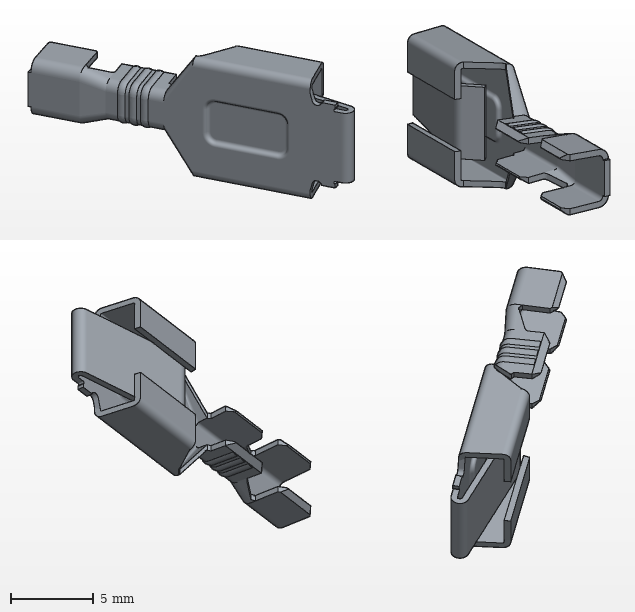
import cadquery as cq
import math

sheet = 0.4
length = 21.18

body_start = 10.75
body_half_width = 4.05
body_height = 3.15
body_bend = 0.5
body_flat_half = body_half_width - body_bend
body_end_bottom = 18.53
body_end_top = 18.07
flange_edge_half = 1.7
wing_foot = (10.87, 0.57)
wing_curve = (11.08, 0.72)
wing_rise = (11.27, 0.95)
wing_shoulder = (12.43, 2.6)
wing_top_x = 12.54

tab_half = 2.82
tab_start = 19.3
tab_end = 20.18
notch_start = 18.65
notch_floor_half = 2.56
relief_radius = 0.08

tongue_half = 2.37
fold_radius = 0.55
tongue_rise = math.radians(12.3)
tongue_fall = math.radians(48)
crest_radius = 0.64
crest_height = 2.71
tip_length = 1.4

panel_centre_x = 14.32
panel_length = 5.75
panel_width = 3.26
panel_corner = 0.83
panel_depth = 0.28
panel_wall_slope = math.radians(65)
panel_wall_run = 0.4
panel_fillet_run = (panel_wall_run - panel_depth / math.tan(panel_wall_slope)) / 2
panel_fillet = panel_fillet_run / math.tan(panel_wall_slope / 2)

barrel_height = 2.92
tip_edge = 0.08
insulation_start = 0.2
insulation_end = 3.4
insulation_drop = 0.25
insulation_flat_half = 1.16
insulation_bend = 0.72
insulation_flare = math.radians(2)
insulation_bevel_foot = 2.58
conductor_start = 5.05
conductor_end = 8.65
conductor_channel_end = 8.85
conductor_flat_half = 0.72
conductor_bend = 0.64
conductor_flare = math.radians(4)
conductor_bevel_foot = 2.45
shoulder_height = 2.48
corner_cut = 0.5

bead_centres = (6.05, 6.82, 7.58)
bead_width = 0.5
bead_rise = 0.075
bead_top = 2.44

neck_low = (3.62, 0.57)
neck_high = (4.85, 1.2)
neck_curve = (4.98, 1.31)
neck_top = 1.48
neck_corner = 0.76
throat_top = 1.35
throat_edge = (8.81, 1.23)

cut_margin = 1.05


def channel(x, web_y, flat_half, bend, flare, bevel_foot, growth=0.0, thickness=sheet):
    """Closed wire of an open channel section at x, its wings leaning outwards by flare.

    The outer wing faces bevel inwards from bevel_foot; growth moves the outer face outwards.
    """
    centre_y = web_y + bend
    mid_angle = -(math.pi / 2 + flare) / 2

    def around_bend(radius, angle):
        return centre_y + radius * math.sin(angle), flat_half + radius * math.cos(angle)

    def along_wing(start, y):
        return y, start[1] + (y - start[0]) * math.tan(flare)

    outer = bend + growth
    inner = outer - thickness
    outer_wing = around_bend(outer, -flare)
    inner_wing = around_bend(inner, -flare)
    outer_tip = along_wing(outer_wing, bevel_foot)
    inner_tip = along_wing(inner_wing, barrel_height - tip_edge)
    crest = (barrel_height, inner_tip[1] + tip_edge)

    def mirrored(point):
        return point[0], -point[1]

    outer_web = (centre_y - outer, flat_half)
    inner_web = (centre_y - inner, flat_half)
    outer_mid = around_bend(outer, mid_angle)
    inner_mid = around_bend(inner, mid_angle)
    return (
        cq.Workplane("YZ", origin=(x, 0, 0))
        .moveTo(*mirrored(outer_web))
        .lineTo(*outer_web)
        .threePointArc(outer_mid, outer_wing)
        .lineTo(*outer_tip)
        .lineTo(*crest)
        .lineTo(*inner_tip)
        .lineTo(*inner_wing)
        .threePointArc(inner_mid, inner_web)
        .lineTo(*mirrored(inner_web))
        .threePointArc(mirrored(inner_mid), mirrored(inner_wing))
        .lineTo(*mirrored(inner_tip))
        .lineTo(*mirrored(crest))
        .lineTo(*mirrored(outer_tip))
        .lineTo(*mirrored(outer_wing))
        .threePointArc(mirrored(outer_mid), mirrored(outer_web))
        .close()
        .val()
    )


def loft(sections, ruled=True):
    return cq.Workplane(cq.Solid.makeLoft(sections, ruled))


def insulation_section(x):
    return channel(
        x, -insulation_drop, insulation_flat_half, insulation_bend, insulation_flare, insulation_bevel_foot
    )


def conductor_section(x, growth=0.0, thickness=sheet):
    return channel(
        x,
        0,
        conductor_flat_half,
        conductor_bend,
        conductor_flare,
        conductor_bevel_foot,
        growth,
        thickness,
    )


def barrel_side_profile():
    """Side silhouette that trims the wings of both barrels and of the necks beside them."""
    low = -cut_margin
    return (
        cq.Workplane("XY")
        .moveTo(insulation_start, low)
        .lineTo(insulation_start, shoulder_height)
        .lineTo(insulation_start + corner_cut, barrel_height)
        .lineTo(insulation_end - corner_cut, barrel_height)
        .lineTo(insulation_end, shoulder_height)
        .lineTo(insulation_end, neck_corner)
        .lineTo(*neck_low)
        .lineTo(*neck_high)
        .threePointArc(neck_curve, (conductor_start, neck_top))
        .lineTo(conductor_start, shoulder_height)
        .lineTo(conductor_start + corner_cut, barrel_height)
        .lineTo(conductor_end - corner_cut, barrel_height)
        .lineTo(conductor_end, shoulder_height)
        .lineTo(conductor_end, throat_top)
        .lineTo(*throat_edge)
        .lineTo(*wing_foot)
        .lineTo(wing_foot[0], low)
        .close()
        .extrude(body_half_width + cut_margin, both=True)
    )


def barrels():
    insulation = loft([insulation_section(insulation_start), insulation_section(insulation_end)])
    neck = loft([insulation_section(insulation_end), conductor_section(conductor_start)])
    conductor = loft([conductor_section(conductor_start), conductor_section(conductor_channel_end)])
    body_section = channel(body_start, 0, body_flat_half, body_bend, 0, conductor_bevel_foot)
    throat = loft([conductor_section(conductor_channel_end), body_section])
    return insulation.union(neck).union(conductor).union(throat).intersect(barrel_side_profile())


def carrier_stub():
    """Short stub of the web left at the rear end."""
    return cq.Workplane("XY").box(
        insulation_start, sheet, 2 * insulation_flat_half, centered=(False, False, True)
    ).translate((0, -insulation_drop, 0))


def bead(x):
    """Rounded bead that wraps the outside of the conductor barrel."""
    sections = []
    for offset, growth in ((-bead_width / 2, 0), (0, bead_rise), (bead_width / 2, 0)):
        sections.append(conductor_section(x + offset, growth, sheet / 2 + growth))
    above = cq.Workplane("XY").box(
        2 * bead_width, cut_margin, 2 * body_half_width, centered=(True, False, True)
    ).translate((x, bead_top, 0))
    return loft(sections, ruled=False).cut(above)


def body_side_profile():
    low = -cut_margin
    end_slope = (body_end_bottom - body_end_top) / body_height
    return (
        cq.Workplane("XY")
        .moveTo(body_start, low)
        .lineTo(body_start, wing_foot[1])
        .lineTo(*wing_foot)
        .threePointArc(wing_curve, wing_rise)
        .lineTo(*wing_shoulder)
        .lineTo(wing_top_x, body_height)
        .lineTo(body_end_top, body_height)
        .lineTo(body_end_bottom - low * end_slope, low)
        .close()
        .extrude(body_half_width, both=True)
    )


def body():
    """Box with rolled-in wings, open between the two flange edges."""
    def tube(inset):
        return (
            cq.Workplane("XY")
            .box(
                body_end_bottom - body_start,
                body_height - 2 * inset,
                2 * (body_half_width - inset),
                centered=(False, False, True),
            )
            .edges("|X")
            .fillet(body_bend - inset)
            .translate((body_start, inset, 0))
        )

    gap = cq.Workplane("XY").box(
        length, body_height, 2 * flange_edge_half, centered=(False, False, True)
    ).translate((0, 2 * sheet, 0))
    return tube(0).cut(tube(sheet)).cut(gap).intersect(body_side_profile())


def tab():
    """Web plate from the body end to the fold, notched at both sides."""
    bend_line_x = body_end_bottom - body_bend * (body_end_bottom - body_end_top) / body_height
    inner_start = panel_centre_x + panel_length / 2
    upper_half = (
        cq.Workplane("XZ")
        .moveTo(inner_start, 0)
        .lineTo(inner_start, body_flat_half)
        .lineTo(bend_line_x, body_flat_half)
        .lineTo(notch_start, tab_half)
        .threePointArc(((notch_start + tab_start) / 2, notch_floor_half), (tab_start, tab_half))
        .lineTo(tab_end, tab_half)
        .lineTo(tab_end, tongue_half + 2 * relief_radius)
        .threePointArc((tab_end - relief_radius, tongue_half + relief_radius), (tab_end, tongue_half))
        .lineTo(length - fold_radius, tongue_half)
        .lineTo(length - fold_radius, 0)
        .close()
        .extrude(-sheet)
    )
    return upper_half.union(upper_half.mirror("XY"))


def tongue():
    """Contact spring: folds over the tab, climbs to a crest and dips towards its free end."""
    fold = cq.Vector(length - fold_radius, fold_radius)
    climb = cq.Vector(-math.cos(tongue_rise), math.sin(tongue_rise))
    climb_normal = cq.Vector(math.sin(tongue_rise), math.cos(tongue_rise))
    dip = cq.Vector(-math.cos(tongue_fall), -math.sin(tongue_fall))
    dip_normal = cq.Vector(-math.sin(tongue_fall), math.cos(tongue_fall))
    up = cq.Vector(0, 1)
    forward = cq.Vector(1, 0)

    crest_start = fold + climb_normal * (fold_radius - crest_radius)
    climb_length = (crest_height - crest_radius - crest_start.y) / climb.y
    crest = crest_start + climb * climb_length

    def face_points(depth):
        fold_face = fold_radius - depth
        crest_face = crest_radius - depth
        tip = crest + dip_normal * crest_face + dip * tip_length
        return (
            fold - up * fold_face,
            fold + forward * fold_face,
            fold + climb_normal * fold_face,
            crest + climb_normal * crest_face,
            crest + up * crest_face,
            crest + dip_normal * crest_face,
            tip,
        )

    outer = [point.toTuple()[:2] for point in face_points(0)]
    inner = [point.toTuple()[:2] for point in face_points(sheet)]
    return (
        cq.Workplane("XY")
        .moveTo(*outer[0])
        .threePointArc(outer[1], outer[2])
        .lineTo(*outer[3])
        .threePointArc(outer[4], outer[5])
        .lineTo(*outer[6])
        .lineTo(*inner[6])
        .lineTo(*inner[5])
        .threePointArc(inner[4], inner[3])
        .lineTo(*inner[2])
        .threePointArc(inner[1], inner[0])
        .close()
        .extrude(tongue_half, both=True)
    )


def panel_block(base_y):
    """Rounded rectangular block with sloping walls that rises from base_y."""
    return (
        cq.Workplane("XZ", origin=(panel_centre_x, base_y, 0))
        .sketch()
        .rect(panel_length - 2 * panel_fillet_run, panel_width - 2 * panel_fillet_run)
        .vertices()
        .fillet(panel_corner - panel_fillet_run)
        .finalize()
        .extrude(-panel_depth, taper=90 - math.degrees(panel_wall_slope))
    )


def panel_outline(y):
    """Selector for the panel edges that lie at height y."""
    margin = 0.02
    low = (panel_centre_x - panel_length / 2, y - margin, -panel_width / 2)
    high = (panel_centre_x + panel_length / 2, y + margin, panel_width / 2)
    return cq.selectors.BoxSelector(low, high, boundingbox=True)


box = body().union(tab()).union(panel_block(sheet)).cut(panel_block(0))
for panel_level in (0, panel_depth, sheet, sheet + panel_depth):
    box = box.edges(panel_outline(panel_level)).fillet(panel_fillet)

result = barrels().union(carrier_stub()).union(box).union(tongue())
for bead_x in bead_centres:
    result = result.union(bead(bead_x))